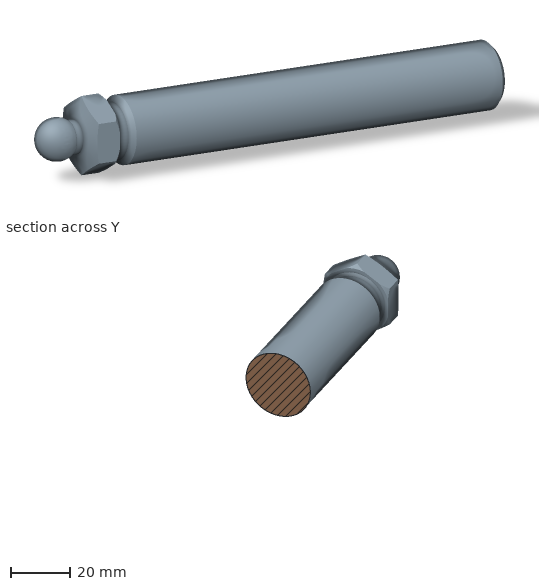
import cadquery as cq
import math

length = 175.0
rod_radius = 24.0 / 2
end_chamfer = 2.0

ball_radius = 7.5
neck_radius = 6.0
neck_end = 14.5

hex_flats = 2 * rod_radius
hex_corner_radius = hex_flats / math.sqrt(3)
hex_front_rise = 2.6
hex_back = 25.2
hex_back_radius = 12.5
hex_back_chamfer = 1.4

groove_radius = 10.0
groove_start = 26.0
groove_end = 29.8
groove_flare = groove_start - hex_back


def revolve_about_y(profile):
    return profile.close().revolve(360, (0, 0, 0), (0, 1, 0))


def make_ball_and_neck():
    """Full ball joined to a short cylindrical neck."""
    ball = cq.Workplane("XY").sphere(ball_radius).translate((0, ball_radius, 0))
    neck = revolve_about_y(
        cq.Workplane("XY")
        .moveTo(0, ball_radius)
        .lineTo(neck_radius, ball_radius)
        .lineTo(neck_radius, neck_end)
        .lineTo(0, neck_end)
    )
    return ball.union(neck)


def make_hexagon():
    """Hexagon trimmed by a cone in front and a chamfer cone behind."""
    prism = (
        cq.Workplane("XZ", origin=(0, neck_end, 0))
        .polygon(6, 2 * hex_corner_radius)
        .extrude(neck_end - hex_back)
        .rotate((0, 0, 0), (0, 1, 0), 90)
    )
    envelope = revolve_about_y(
        cq.Workplane("XY")
        .moveTo(0, neck_end)
        .lineTo(neck_radius, neck_end)
        .lineTo(hex_corner_radius, neck_end + hex_front_rise)
        .lineTo(hex_corner_radius, hex_back - hex_back_chamfer)
        .lineTo(hex_back_radius, hex_back)
        .lineTo(0, hex_back)
    )
    return prism.intersect(envelope)


def make_rod():
    """Grooved shoulder and long rod with a chamfered end."""
    return revolve_about_y(
        cq.Workplane("XY")
        .moveTo(0, hex_back)
        .lineTo(groove_radius + groove_flare, hex_back)
        .lineTo(groove_radius, groove_start)
        .lineTo(groove_radius, groove_end)
        .lineTo(rod_radius, groove_end + rod_radius - groove_radius)
        .lineTo(rod_radius, length - end_chamfer)
        .lineTo(rod_radius - end_chamfer, length)
        .lineTo(0, length)
    )


result = make_ball_and_neck().union(make_hexagon()).union(make_rod())